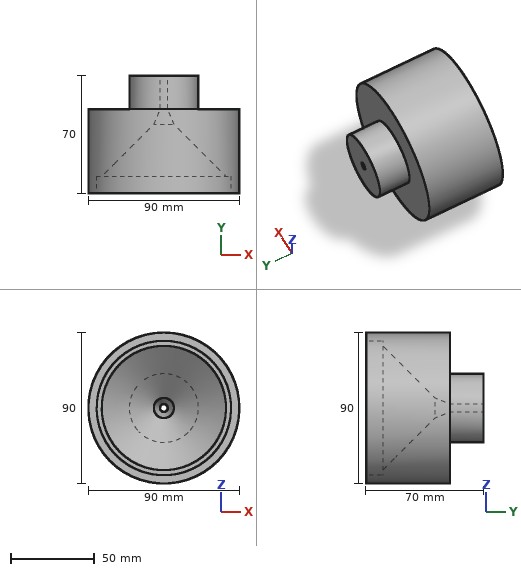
import cadquery as cq


body_diameter = 90.0
body_length = 50.0
neck_diameter = 41.0
neck_length = 20.0
total_length = body_length + neck_length

recess_diameter = 80.0
recess_depth = 10.0
funnel_mouth_diameter = 74.0
throat_diameter = 12.0
funnel_length = (funnel_mouth_diameter - throat_diameter) / 2
outlet_diameter = 4.5
funnel_end = recess_depth + funnel_length
throat_end = body_length


def revolved_about_y(outline):
    """Turn a list of (distance along Y, radius) points into a solid of revolution."""
    axis_start = (0, 0, 0)
    axis_end = (1, 0, 0)
    return cq.Workplane("YZ").polyline(outline).close().revolve(360, axis_start, axis_end)


def outer_solid():
    """Wide body stepping down to the neck."""
    return revolved_about_y([
        (0, 0),
        (0, body_diameter / 2),
        (body_length, body_diameter / 2),
        (body_length, neck_diameter / 2),
        (total_length, neck_diameter / 2),
        (total_length, 0),
    ])


def inner_cavity():
    """Passage from the mouth to the rear face; the throat ends level with the back of the body."""
    return revolved_about_y([
        (0, 0),
        (0, recess_diameter / 2),
        (recess_depth, recess_diameter / 2),
        (recess_depth, funnel_mouth_diameter / 2),
        (funnel_end, throat_diameter / 2),
        (throat_end, outlet_diameter / 2),
        (total_length, outlet_diameter / 2),
        (total_length, 0),
    ])


result = outer_solid().cut(inner_cavity())